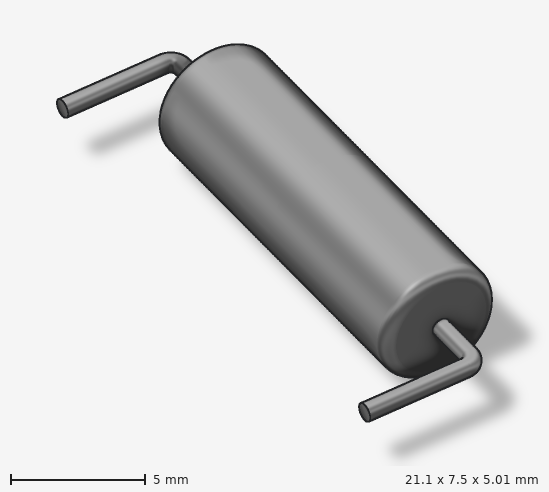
import cadquery as cq

overall_length = 21.07
body_length = 15.5
body_diameter = 5.01
body_edge_radius = 0.5
lead_diameter = 0.75
lead_bend_radius = 0.5
lead_reach = 5.0

lead_x = (overall_length - lead_diameter) / 2


def make_body():
    """Cylinder along X with rounded end edges."""
    return (
        cq.Workplane("YZ")
        .circle(body_diameter / 2)
        .extrude(body_length / 2, both=True)
        .edges("%CIRCLE")
        .fillet(body_edge_radius)
    )


def make_right_lead():
    """Round wire from the body center out along +X, then bent toward -Y."""
    path = (
        cq.Workplane("XY")
        .lineTo(lead_x - lead_bend_radius, 0)
        .tangentArcPoint((lead_x, -lead_bend_radius), relative=False)
        .lineTo(lead_x, -lead_reach)
    )
    return cq.Workplane("YZ").circle(lead_diameter / 2).sweep(path)


right_lead = make_right_lead()
left_lead = right_lead.mirror("YZ")

result = make_body().union(right_lead).union(left_lead)